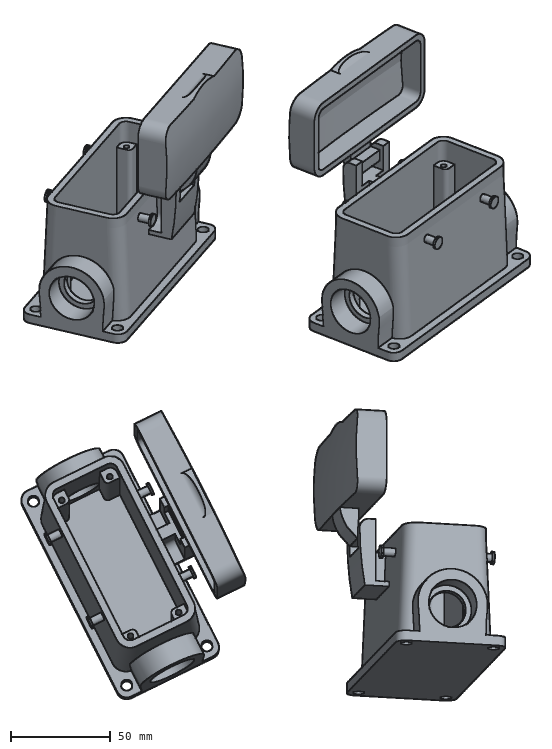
import cadquery as cq
import math

OVERLAP = 1.2

BASE_X = 56.3
BASE_Y = 117.0
BASE_HEIGHT = 5.1
BASE_CORNER = 5.2
MOUNT_HOLE_DIAMETER = 5.6
MOUNT_HOLE_X = 22.4
MOUNT_HOLE_Y = 52.3

BODY_TOP_X = 43.0
BODY_BOTTOM_X = 47.7
BODY_TOP_Y = 93.3
BODY_BOTTOM_Y = 93.5
BODY_CORNER = 7.5
BODY_TOP = 64.3
LIP_BOTTOM = 58.7
WALL = 3.7

POST_INNER_X = 9.8
POST_INNER_Y = 35.9
POST_CORNER = 2.2
POST_TOP = 52.2
POST_HOLE_DIAMETER = 2.9
POST_HOLE_X = 13.5
POST_HOLE_Y = 38.6
POST_HOLE_DEPTH = 15.0

BOSS_RADIUS = 17.9
BOSS_AXIS_Z = 20.3
BOSS_SHOULDER_RISE = 3.1
BOSS_SHOULDER_HALF = 17.8
BOSS_FOOT_HALF = 17.1
BORE_RADIUS = 9.5
COUNTERBORE_RADIUS = 12.3
COUNTERBORE_DEPTH = 11.8

PEG_DIAMETER = 4.2
PEG_HEAD_DIAMETER = 6.5
PEG_HEAD_THICKNESS = 1.1
PEG_REACH = 29.1
PEG_Y = 23.7
PEG_Z = 53.9

BRACKET_FACE_X = 29.1
BRACKET_BACK_X = 37.4
BRACKET_BACK_BOTTOM_X = 34.8
BRACKET_HALF_Y = 14.0
BRACKET_BOTTOM = 38.7
SHELF_TOP = 41.2
ARM_TOP = 73.1
ARM_CORNER = 4.7
SLOT_WIDTH = 17.8
WEB_WIDTH = 6.1
WEB_FILLET = 4.1

LID_FRONT_X = 31.1
LID_BACK_X = 47.8
LID_CENTER_Z = 101.0
LID_CORNER = 7.6
DOME_RADIUS_Z = 153.2
DOME_RADIUS_Y = 1245.6
LID_WALL = 3.5
LID_BACK_WALL = 3.7
LID_TOP = LID_CENTER_Z + BODY_TOP_X / 2
LID_BOTTOM = LID_CENTER_Z - BODY_TOP_X / 2

GRIP_TOP = 124.5
GRIP_HALF_Y = 12.5
GRIP_START_X = 40.4
GRIP_SCOOP_RADIUS = 4.0

TAB_HALF_Y = 8.5
TAB_FRONT_X = 36.7
TAB_STEP_TOP = 70.4
TAB_STEP_X = 31.0
TAB_BOTTOM = 64.0
TAB_TAIL_X = 37.4
TAB_KNEE = (42.7, 69.8)
TAB_CURVE_MID = (45.1, 74.5)
TAB_CURVE_TOP_X = 46.3


def rounded_rectangle(size_x, size_y, corner):
    return cq.Sketch().rect(size_x, size_y).vertices().fillet(corner)


def tapered_prism(plane, bottom_width, top_width, inset, length):
    """Prism whose outline narrows from the base up to the lip and is straight above it."""
    bottom_half = bottom_width / 2 - inset
    top_half = top_width / 2 - inset
    return (
        cq.Workplane(plane)
        .moveTo(-bottom_half, BASE_HEIGHT)
        .lineTo(bottom_half, BASE_HEIGHT)
        .lineTo(top_half, LIP_BOTTOM)
        .lineTo(top_half, BODY_TOP)
        .lineTo(-top_half, BODY_TOP)
        .lineTo(-top_half, LIP_BOTTOM)
        .close()
        .extrude(length, both=True)
    )


def tapered_box(bottom_x, inset):
    """Round-cornered box widening from the lip down to bottom_x along X, inset all round."""
    across = tapered_prism("XZ", bottom_x, BODY_TOP_X, inset, BODY_BOTTOM_Y)
    along = tapered_prism("YZ", BODY_BOTTOM_Y, BODY_TOP_Y, inset, BODY_BOTTOM_X)
    return across.intersect(along).edges("not #Z").fillet(BODY_CORNER - inset)


def base_plate():
    plate = cq.Workplane().placeSketch(rounded_rectangle(BASE_X, BASE_Y, BASE_CORNER)).extrude(BASE_HEIGHT)
    return (
        plate.faces(">Z")
        .workplane(origin=(0, 0, 0))
        .rect(2 * MOUNT_HOLE_X, 2 * MOUNT_HOLE_Y, forConstruction=True)
        .vertices()
        .hole(MOUNT_HOLE_DIAMETER)
    )


def cable_bosses():
    """Round-topped boss running the length of the base; the cavity later splits it in two."""
    shoulder_half = math.sqrt(BOSS_RADIUS**2 - BOSS_SHOULDER_RISE**2)
    shoulder_top = BOSS_AXIS_Z + BOSS_SHOULDER_RISE
    shoulder_bottom = BOSS_AXIS_Z - BOSS_SHOULDER_RISE
    flare_mid = (BOSS_FOOT_HALF + (shoulder_half - BOSS_FOOT_HALF) / 4, (shoulder_bottom + BASE_HEIGHT) / 2)
    return (
        cq.Workplane("XZ", origin=(0, BASE_Y / 2, 0))
        .moveTo(-BOSS_FOOT_HALF, 0)
        .lineTo(-BOSS_FOOT_HALF, BASE_HEIGHT)
        .threePointArc((-flare_mid[0], flare_mid[1]), (-shoulder_half, shoulder_bottom))
        .threePointArc((-BOSS_SHOULDER_HALF, BOSS_AXIS_Z), (-shoulder_half, shoulder_top))
        .threePointArc((0, BOSS_AXIS_Z + BOSS_RADIUS), (shoulder_half, shoulder_top))
        .threePointArc((BOSS_SHOULDER_HALF, BOSS_AXIS_Z), (shoulder_half, shoulder_bottom))
        .threePointArc(flare_mid, (BOSS_FOOT_HALF, BASE_HEIGHT))
        .lineTo(BOSS_FOOT_HALF, 0)
        .close()
        .extrude(BASE_Y)
    )


def cable_bores():
    """Bore through both ends with a counterbore at each outer face."""

    def cylinder(radius, start_y, length):
        return cq.Workplane("XZ", origin=(0, start_y, BOSS_AXIS_Z)).circle(radius).extrude(length)

    half = BASE_Y / 2
    front_recess = cylinder(COUNTERBORE_RADIUS, -half + COUNTERBORE_DEPTH, COUNTERBORE_DEPTH)
    back_recess = cylinder(COUNTERBORE_RADIUS, half, COUNTERBORE_DEPTH)
    return cylinder(BORE_RADIUS, half, BASE_Y).union(front_recess).union(back_recess)


def corner_posts():
    """Four screw posts in the cavity corners, each with a blind hole."""
    size_x = BODY_TOP_X / 2 - POST_INNER_X
    size_y = BODY_BOTTOM_Y / 2 - POST_INNER_Y
    block = (
        cq.Workplane(origin=(POST_INNER_X, POST_INNER_Y, BASE_HEIGHT))
        .box(size_x, size_y, POST_TOP - BASE_HEIGHT, centered=False)
        .edges("|Z and <X and <Y")
        .fillet(POST_CORNER)
    )
    hole = (
        cq.Workplane(origin=(POST_HOLE_X, POST_HOLE_Y, POST_TOP))
        .circle(POST_HOLE_DIAMETER / 2)
        .extrude(-POST_HOLE_DEPTH)
    )
    pair = block.cut(hole)
    pair = pair.union(pair.mirror("YZ"))
    return pair.union(pair.mirror("XZ"))


def locking_peg(side, y):
    """Headed peg rooted in the wall on one long side (side is -1 or 1)."""
    root = cq.Workplane("YZ", origin=(side * (BODY_TOP_X / 2 - OVERLAP), y, PEG_Z))
    shaft = root.circle(PEG_DIAMETER / 2).extrude(side * (PEG_REACH - BODY_TOP_X / 2 + OVERLAP))
    end = cq.Workplane("YZ", origin=(side * PEG_REACH, y, PEG_Z))
    head = end.circle(PEG_HEAD_DIAMETER / 2).extrude(-side * PEG_HEAD_THICKNESS)
    return shaft.union(head)


def hinge_bracket():
    """Shelf with a filleted web carrying an upright that forks into two arms."""
    root_x = BODY_TOP_X / 2 - OVERLAP
    depth = BRACKET_FACE_X - root_x
    arc_top = ARM_TOP - ARM_CORNER
    back_mid_x = BRACKET_BACK_X - (BRACKET_BACK_X - BRACKET_BACK_BOTTOM_X) / 4
    corner_mid = ARM_CORNER * math.sqrt(0.5)
    corner_x = BRACKET_BACK_X - ARM_CORNER
    upright = (
        cq.Workplane("XZ", origin=(0, BRACKET_HALF_Y, 0))
        .moveTo(BRACKET_FACE_X, BRACKET_BOTTOM)
        .lineTo(BRACKET_FACE_X, ARM_TOP)
        .lineTo(corner_x, ARM_TOP)
        .threePointArc((corner_x + corner_mid, arc_top + corner_mid), (BRACKET_BACK_X, arc_top))
        .threePointArc((back_mid_x, (arc_top + BRACKET_BOTTOM) / 2), (BRACKET_BACK_BOTTOM_X, BRACKET_BOTTOM))
        .close()
        .extrude(2 * BRACKET_HALF_Y)
    )
    slot_depth = ARM_TOP - LIP_BOTTOM
    slot = cq.Workplane(origin=(BRACKET_BACK_X, 0, LIP_BOTTOM + slot_depth / 2)).box(
        2 * BRACKET_BACK_X, SLOT_WIDTH, slot_depth
    )
    web_half = WEB_WIDTH / 2
    web_foot = web_half + WEB_FILLET
    fillet_top = SHELF_TOP + WEB_FILLET
    fillet_mid = WEB_FILLET * (1 - math.sqrt(0.5))
    shelf_and_web = (
        cq.Workplane("YZ", origin=(root_x, 0, 0))
        .moveTo(-BRACKET_HALF_Y, BRACKET_BOTTOM)
        .lineTo(-BRACKET_HALF_Y, SHELF_TOP)
        .lineTo(-web_foot, SHELF_TOP)
        .threePointArc((-web_half - fillet_mid, SHELF_TOP + fillet_mid), (-web_half, fillet_top))
        .lineTo(-web_half, LIP_BOTTOM)
        .lineTo(web_half, LIP_BOTTOM)
        .lineTo(web_half, fillet_top)
        .threePointArc((web_half + fillet_mid, SHELF_TOP + fillet_mid), (web_foot, SHELF_TOP))
        .lineTo(BRACKET_HALF_Y, SHELF_TOP)
        .lineTo(BRACKET_HALF_Y, BRACKET_BOTTOM)
        .close()
        .extrude(depth)
    )
    return upright.cut(slot).union(shelf_and_web)


def make_housing():
    cavity = tapered_box(BODY_TOP_X, WALL)
    body = base_plate().union(tapered_box(BODY_BOTTOM_X, 0)).union(cable_bosses()).union(hinge_bracket())
    for side in (-1, 1):
        for y in (-PEG_Y, PEG_Y):
            body = body.union(locking_peg(side, y))
    body = body.cut(cavity).union(corner_posts().intersect(cavity))
    return body.cut(cable_bores())


def curved_back_block(back_x, ridged):
    """Block spanning the lid, with a back bowed both ways and its crown at back_x.

    Across the short way the back is a smooth arc, or two straight slopes meeting in a ridge.
    """
    half_z = BODY_TOP_X / 2 + 2 * OVERLAP
    edge_x = back_x - DOME_RADIUS_Z + math.sqrt(DOME_RADIUS_Z**2 - half_z**2)
    axis_x = back_x - DOME_RADIUS_Y
    start_x = LID_FRONT_X - 2 * OVERLAP
    half_angle = math.degrees(math.asin((BODY_TOP_Y / 2 + OVERLAP) / (start_x - axis_x)))
    outline = (
        cq.Workplane("XZ", origin=(0, 0, LID_CENTER_Z))
        .moveTo(edge_x, half_z)
        .lineTo(start_x, half_z)
        .lineTo(start_x, -half_z)
        .lineTo(edge_x, -half_z)
    )
    if ridged:
        outline = outline.lineTo(back_x, 0).close()
    else:
        outline = outline.threePointArc((back_x, 0), (edge_x, half_z)).close()
    block = outline.revolve(2 * half_angle, (axis_x, 0, 0), (axis_x, 1, 0))
    return block.rotate((axis_x, 0, 0), (axis_x, 0, 1), -half_angle)


def lid_prism(inset):
    """Rounded rectangle the size of the housing lip, running back from the lid's front."""
    outline = rounded_rectangle(BODY_TOP_Y - 2 * inset, BODY_TOP_X - 2 * inset, LID_CORNER - inset)
    front = cq.Workplane("YZ", origin=(LID_FRONT_X, 0, LID_CENTER_Z))
    return front.placeSketch(outline).extrude(LID_BACK_X - LID_FRONT_X)


def finger_grip():
    """Arched ridge on top of the lid with a scooped front."""
    arch = (
        cq.Workplane("YZ", origin=(GRIP_START_X, 0, 0))
        .moveTo(-GRIP_HALF_Y, LID_TOP - OVERLAP)
        .lineTo(-GRIP_HALF_Y, LID_TOP)
        .threePointArc((0, GRIP_TOP), (GRIP_HALF_Y, LID_TOP))
        .lineTo(GRIP_HALF_Y, LID_TOP - OVERLAP)
        .close()
        .extrude(LID_BACK_X - GRIP_START_X)
    )
    scoop = (
        cq.Workplane("XZ", origin=(GRIP_START_X, 0, LID_TOP + GRIP_SCOOP_RADIUS))
        .circle(GRIP_SCOOP_RADIUS)
        .extrude(GRIP_HALF_Y, both=True)
    )
    return arch.cut(scoop)


def hinge_tab():
    """Curved tail under the lid with a stepped block that sits between the bracket arms."""
    return (
        cq.Workplane("XZ", origin=(0, TAB_HALF_Y, 0))
        .moveTo(TAB_STEP_X, TAB_BOTTOM)
        .lineTo(TAB_STEP_X, TAB_STEP_TOP)
        .lineTo(TAB_FRONT_X, TAB_STEP_TOP)
        .lineTo(TAB_FRONT_X, LID_BOTTOM)
        .lineTo(TAB_CURVE_TOP_X, LID_BOTTOM)
        .threePointArc(TAB_CURVE_MID, TAB_KNEE)
        .lineTo(TAB_TAIL_X, TAB_BOTTOM)
        .close()
        .extrude(2 * TAB_HALF_Y)
    )


def make_lid():
    shell = lid_prism(0).union(finger_grip()).intersect(curved_back_block(LID_BACK_X, ridged=False))
    cavity = lid_prism(LID_WALL).intersect(curved_back_block(LID_BACK_X - LID_BACK_WALL, ridged=True))
    return shell.cut(cavity).union(hinge_tab())


housing = make_housing()
lid = make_lid()
result = cq.Compound.makeCompound([housing.solids().val(), lid.solids().val()])